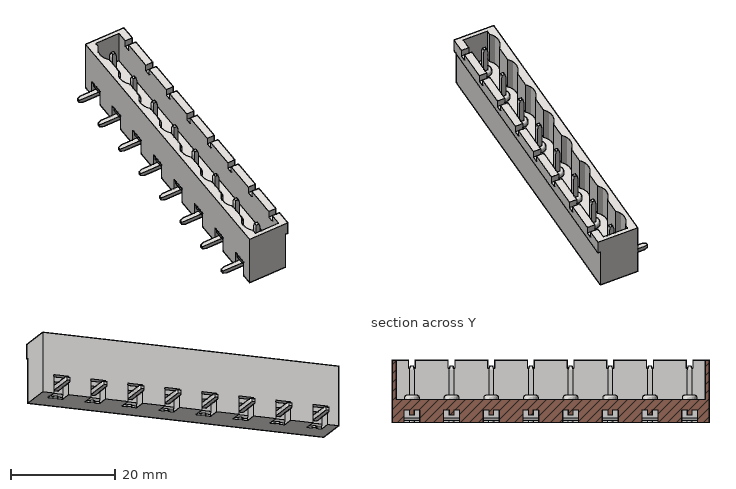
import cadquery as cq

pole_count = 8
pitch = 7.62
length = pole_count * pitch
pole_positions = [(i - (pole_count - 1) / 2) * pitch for i in range(pole_count)]

height = 12.0
front_y = -3.9
top_depth = 8.6
back_y = front_y + top_depth
lip_overhang = 0.5
lip_height = 2.95

floor_z = 4.5
end_wall = 0.83
back_wall = 1.6
front_wall = 1.8
scallop_radius = 2.95

notch_width = 1.28
notch_depth = 1.5

collar_radius = 1.42
collar_rounding = 0.5
collar_height = 0.8

pin_size = 0.95
pin_tip_size = 0.6
pin_taper = 0.75
pin_top_z = 10.9
lead_z = 1.92
lead_length = 3.9

recess_width = 3.0
recess_height = 3.7
recess_bevel = 0.35
recess_step_z = 2.4
recess_depth = 3.0
foot_bevel_top_z = 0.93
foot_bevel_bottom_z = 0.38
foot_bevel_depth = 0.25
foot_post_radius = 0.5


def box(x_min, x_max, y_min, y_max, z_min, z_max):
    """Axis-aligned block between the given limits."""
    size = (x_max - x_min, y_max - y_min, z_max - z_min)
    return cq.Workplane("XY").box(*size, centered=False).translate((x_min, y_min, z_min))


def housing_block():
    """Solid housing with the overhanging lip along the top of its back."""
    half = length / 2
    body = box(-half, half, front_y, back_y - lip_overhang, 0, height)
    lip = box(-half, half, front_y, back_y, height - lip_height, height)
    return body.union(lip)


def cavity():
    """Plug cavity whose front wall is scalloped around every pin."""
    half = length / 2 - end_wall
    space = box(-half, half, front_y + front_wall, back_y - back_wall, floor_z, height)
    scallops = (
        cq.Workplane("XY", origin=(0, 0, floor_z))
        .pushPoints([(x, 0) for x in pole_positions])
        .circle(scallop_radius)
        .extrude(height - floor_z)
    )
    return space.union(scallops)


def coding_notch(x):
    """Narrow slot down from the top edge of the back wall."""
    half = notch_width / 2
    return box(x - half, x + half, back_y - back_wall, back_y, height - notch_depth, height)


def lead_recess(x):
    """Stepped recess with bevelled ceiling and back wall, and a round post at its foot."""
    step_y = front_y + recess_bevel
    deep_y = front_y + recess_depth
    foot_y = deep_y + foot_bevel_depth
    profile = [
        (front_y, 0),
        (front_y, recess_height),
        (step_y, recess_height - recess_bevel),
        (step_y, recess_step_z),
        (deep_y, recess_step_z),
        (deep_y, foot_bevel_top_z),
        (foot_y, foot_bevel_bottom_z),
        (foot_y, 0),
    ]
    pocket = (
        cq.Workplane("YZ", origin=(x - recess_width / 2, 0, 0))
        .polyline(profile)
        .close()
        .extrude(recess_width)
    )
    post = (
        cq.Workplane("XY", origin=(x, foot_y, 0))
        .circle(foot_post_radius)
        .extrude(foot_bevel_bottom_z)
    )
    return pocket.cut(post)


def collar(x):
    """Round collar with a rounded rim rising from the cavity floor."""
    return (
        cq.Workplane("XY", origin=(x, 0, floor_z))
        .circle(collar_radius)
        .extrude(collar_height)
        .faces(">Z")
        .edges()
        .fillet(collar_rounding)
    )


def square_rod(plane, length_to_tip):
    """Square rod starting on the plane and ending in a tapered tip."""
    shaft_length = length_to_tip - pin_taper
    shaft = cq.Workplane(plane).rect(pin_size, pin_size).extrude(shaft_length)
    tip = (
        cq.Workplane(plane)
        .workplane(offset=shaft_length)
        .rect(pin_size, pin_size)
        .workplane(offset=pin_taper)
        .rect(pin_tip_size, pin_tip_size)
        .loft()
    )
    return shaft.union(tip)


def pin(x):
    """Right-angle pin: upright contact plus a lead leaving through the front."""
    corner_z = lead_z - pin_size / 2
    upright_plane = cq.Plane(origin=(x, 0, corner_z), normal=(0, 0, 1))
    lead_plane = cq.Plane(origin=(x, 0, lead_z), xDir=(1, 0, 0), normal=(0, -1, 0))
    upright = square_rod(upright_plane, pin_top_z - corner_z)
    lead = square_rod(lead_plane, lead_length - front_y)
    return upright.union(lead)


result = housing_block().cut(cavity())
for pole_x in pole_positions:
    result = result.cut(coding_notch(pole_x)).cut(lead_recess(pole_x))
    result = result.union(collar(pole_x)).union(pin(pole_x))